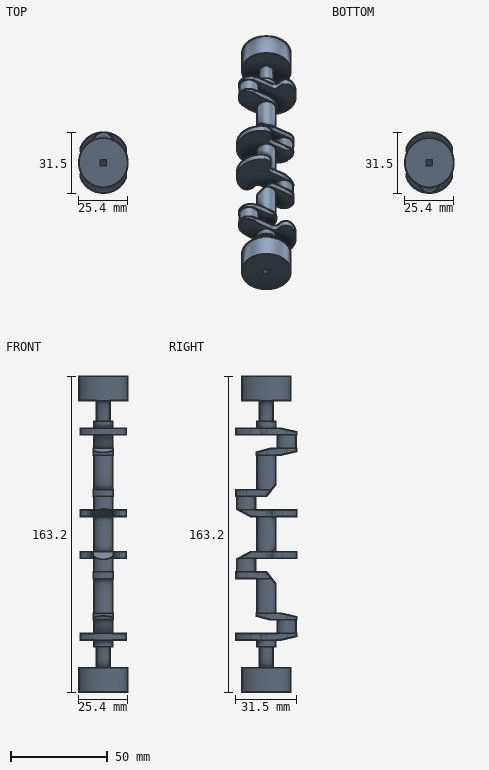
import cadquery as cq
import math

total_length = 163.25

disc_diameter = 25.4
disc_thickness = 12.7
socket_width = 3.175
socket_depth = disc_thickness

shaft_diameter = 7.1
journal_diameter = 9.8
collar_length = 3.5
center_journal_length = 18.0
side_journal_length = 17.75

crank_throw = 10.5
pin_length = 7.0
web_thickness = 3.5
web_width = 10.5

lobe_radius = 12.7
neck_fillet_radius = 3.0

throw_bevel_start = 7.25
throw_bevel_drop = 2.0
heel_bevel_start = 2.0
heel_bevel_drop = 2.0
inner_bevel_start = 7.9
inner_bevel_height = 4.2
journal_bevel_height = 6.2

web_radius = web_width / 2
journal_radius = journal_diameter / 2
throw_reach = crank_throw + web_radius
end_z = total_length / 2

inner_weight_bottom = center_journal_length / 2
inner_weight_top = inner_weight_bottom + web_thickness
inner_link_bottom = inner_weight_top + pin_length
inner_link_top = inner_link_bottom + web_thickness
outer_link_bottom = inner_link_top + side_journal_length
outer_link_top = outer_link_bottom + web_thickness
outer_weight_bottom = outer_link_top + pin_length
outer_weight_top = outer_weight_bottom + web_thickness
collar_top = outer_weight_top + collar_length
disc_bottom = end_z - disc_thickness


def cylinder(diameter, y, bottom, top):
    """Upright cylinder centred at X = 0 and the given Y."""
    return cq.Workplane("XY", origin=(0, y, bottom)).circle(diameter / 2).extrude(top - bottom)


def link_web(side, bottom):
    """Plain web with round ends joining the main axis to a pin at Y = side * crank_throw."""
    return (
        cq.Workplane("XY", origin=(0, side * crank_throw / 2, bottom))
        .slot2D(crank_throw + web_width, web_width, 90)
        .extrude(web_thickness)
    )


def weight_web(side, bottom):
    """Web with a round pin end at Y = side * crank_throw and a counterweight lobe opposite."""
    lobe_tip = throw_reach
    lobe_center = lobe_tip - lobe_radius
    neck_x = web_radius + neck_fillet_radius
    rise = neck_fillet_radius - lobe_center
    end_radius = (lobe_radius**2 - neck_x**2 - rise**2) / (2 * (lobe_radius + rise))
    end_y = neck_fillet_radius + end_radius
    tangent_angle = math.atan2(end_y - lobe_center, neck_x)
    tangent_x = lobe_radius * math.cos(tangent_angle)
    tangent_y = lobe_center + lobe_radius * math.sin(tangent_angle)
    middle_angle = (tangent_angle - math.pi / 2) / 2
    end_middle_x = neck_x + end_radius * math.cos(middle_angle)
    end_middle_y = end_y + end_radius * math.sin(middle_angle)
    fillet_middle = neck_fillet_radius * math.cos(math.pi / 4)

    def place(x, y):
        return (x, -side * y)

    return (
        cq.Workplane("XY", origin=(0, 0, bottom))
        .moveTo(*place(web_radius, -crank_throw))
        .lineTo(*place(web_radius, 0))
        .threePointArc(place(neck_x - fillet_middle, fillet_middle), place(neck_x, neck_fillet_radius))
        .threePointArc(place(end_middle_x, end_middle_y), place(tangent_x, tangent_y))
        .threePointArc(place(0, lobe_tip), place(-tangent_x, tangent_y))
        .threePointArc(place(-end_middle_x, end_middle_y), place(-neck_x, neck_fillet_radius))
        .threePointArc(place(fillet_middle - neck_x, fillet_middle), place(-web_radius, 0))
        .lineTo(*place(-web_radius, -crank_throw))
        .threePointArc(place(0, -throw_reach), place(web_radius, -crank_throw))
        .close()
        .extrude(web_thickness)
    )


def bevel_cutter(y_start, z_start, y_end, z_end):
    """Wedge across the full width, between the sloped line and its corner at (y_end, z_start)."""
    return (
        cq.Workplane("YZ")
        .polyline([(y_start, z_start), (y_end, z_end), (y_end, z_start)])
        .close()
        .extrude(web_radius, both=True)
    )


def outer_throw():
    """Crank throw towards +Y near the end disc."""
    weight = weight_web(1, outer_weight_bottom)
    link = link_web(1, outer_link_bottom)
    pin = cylinder(journal_diameter, crank_throw, outer_link_top, outer_weight_bottom)
    weight_bevel = bevel_cutter(
        throw_bevel_start, outer_weight_top, throw_reach, outer_weight_top - throw_bevel_drop
    )
    link_bevel = bevel_cutter(
        throw_bevel_start, outer_link_bottom, throw_reach, outer_link_bottom + throw_bevel_drop
    )
    heel_bevel = bevel_cutter(
        heel_bevel_start, outer_link_top, -web_radius, outer_link_top - heel_bevel_drop
    )
    return weight.cut(weight_bevel).union(link.cut(link_bevel).cut(heel_bevel)).union(pin)


def inner_throw():
    """Crank throw towards -Y near the middle, with the side journal above it."""
    weight = weight_web(-1, inner_weight_bottom)
    link = link_web(-1, inner_link_bottom)
    pin = cylinder(journal_diameter, -crank_throw, inner_weight_top, inner_link_bottom)
    journal = cylinder(journal_diameter, 0, inner_link_top, outer_link_bottom)
    pin_bevel = bevel_cutter(
        -inner_bevel_start, inner_weight_bottom, -throw_reach, inner_weight_bottom + inner_bevel_height
    )
    heel_slope = journal_bevel_height / journal_radius
    journal_bevel = bevel_cutter(
        0, inner_link_bottom, web_radius, inner_link_bottom + heel_slope * web_radius
    )
    return weight.union(pin).cut(pin_bevel).union(link.union(journal).cut(journal_bevel))


def end_shaft():
    """Collar, thin shaft and end disc with its square socket."""
    collar = cylinder(journal_diameter, 0, outer_weight_top, collar_top)
    shaft = cylinder(shaft_diameter, 0, collar_top, disc_bottom)
    disc = cylinder(disc_diameter, 0, disc_bottom, end_z)
    socket = (
        cq.Workplane("XY", origin=(0, 0, end_z)).rect(socket_width, socket_width).extrude(-socket_depth)
    )
    return collar.union(shaft).union(disc.cut(socket))


center_journal = cylinder(journal_diameter, 0, -inner_weight_bottom, inner_weight_bottom)
upper_half = inner_throw().union(outer_throw()).union(end_shaft())
result = center_journal.union(upper_half).union(upper_half.mirror("XY"))